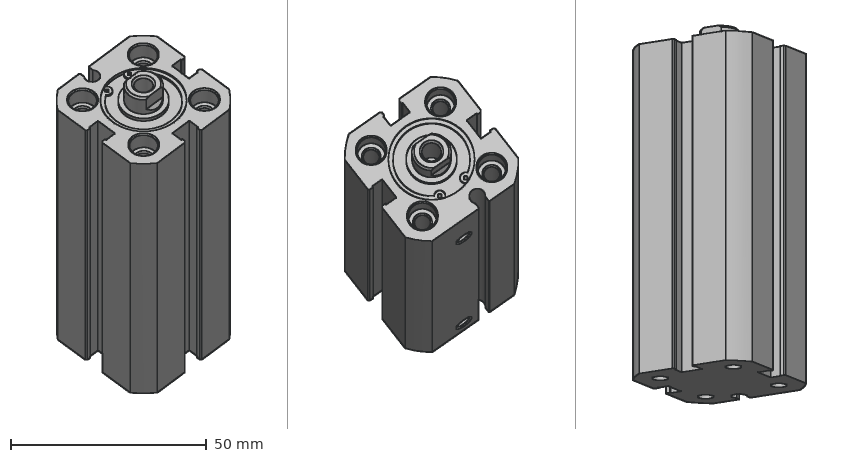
import cadquery as cq

TOTAL_HEIGHT = 93.0
ROD_PROJECTION = 5.95
BARREL_HEIGHT = TOTAL_HEIGHT - ROD_PROJECTION
BARREL_WIDTH = 36.0
HALF_WIDTH = BARREL_WIDTH / 2
CORNER_RADIUS = 22.2

SLOT_MOUTH_WIDTH = 5.4
SLOT_INNER_WIDTH = 6.1
SLOT_LIP_DEPTH = 1.4
SLOT_DEPTH = 4.6
SLOT_BEVEL = (SLOT_INNER_WIDTH - SLOT_MOUTH_WIDTH) / 2

GROOVE_DIAMETER = 4.1
GROOVE_NECK_WIDTH = 3.2
GROOVE_BEVEL = 0.2
GROOVE_Y = -3.4
GROOVE_CENTER_X = -15.1

MOUNT_PITCH = 22.0
MOUNT_BORE_DIAMETER = 4.1
MOUNT_LEAD_DIAMETER = 4.9
MOUNT_COUNTERBORE_DIAMETER = 7.3
MOUNT_COUNTERBORE_DEPTH = 5.0
MOUNT_RIM_DIAMETER = 8.0

PORT_DIAMETER = 4.1
PORT_RIM_DIAMETER = 4.9
PORT_DEPTH = 5.0
PORT_Y = 3.0
PORT_LOWER_Z = 5.6
PORT_UPPER_Z = BARREL_HEIGHT - 15.1

HEAD_DIAMETER = 22.0
COLLAR_DIAMETER = 13.0
RING_INNER_DIAMETER = 19.7
RING_DROP = 0.5
RING_THICKNESS = 0.6
HEAD_DEPTH = RING_DROP + RING_THICKNESS
LUG_DIAMETER = 2.9
LUG_HOLE_DIAMETER = 1.0
LUG_X = -9.1
LUG_Y = 4.1

ROD_DIAMETER = 10.0
ROD_LENGTH = 23.25
ROD_BOTTOM = TOTAL_HEIGHT - ROD_LENGTH
ROD_CHAMFER = 0.6
FLAT_WIDTH = 8.0
FLAT_LENGTH = 4.2
ROD_HOLE_DIAMETER = 4.9
ROD_HOLE_RIM_DIAMETER = 6.0
ROD_HOLE_DEPTH = 12.0


def disc(diameter, bottom, height, x=0.0, y=0.0):
    """Upright cylinder standing at height `bottom`."""
    return cq.Workplane("XY").center(x, y).circle(diameter / 2).extrude(height).translate((0, 0, bottom))


def countersink(mouth_diameter, end_diameter):
    """45-degree cone with its mouth on Z = 0, narrowing downwards."""
    depth = (mouth_diameter - end_diameter) / 2
    return cq.Workplane("XY").add(
        cq.Solid.makeCone(end_diameter / 2, mouth_diameter / 2, depth, pnt=cq.Vector(0, 0, -depth))
    )


def barrel_blank():
    square = cq.Workplane("XY").rect(BARREL_WIDTH, BARREL_WIDTH).extrude(BARREL_HEIGHT)
    return square.intersect(disc(2 * CORNER_RADIUS, 0, BARREL_HEIGHT))


def t_slot(angle):
    """Full-height sensor slot, drawn on the +X side and turned about the barrel axis."""
    mouth = SLOT_MOUTH_WIDTH / 2
    inner = SLOT_INNER_WIDTH / 2
    lip_end = HALF_WIDTH - SLOT_LIP_DEPTH
    upper = [
        (HALF_WIDTH, mouth + SLOT_BEVEL),
        (HALF_WIDTH - SLOT_BEVEL, mouth),
        (lip_end, mouth),
        (lip_end, inner),
        (HALF_WIDTH - SLOT_DEPTH, inner),
    ]
    lower = [(x, -y) for x, y in reversed(upper)]
    slot = cq.Workplane("XY").polyline(upper + lower).close().extrude(BARREL_HEIGHT)
    return slot.rotate((0, 0, 0), (0, 0, 1), angle)


def round_groove():
    neck = GROOVE_NECK_WIDTH / 2
    upper = [
        (-HALF_WIDTH, neck + GROOVE_BEVEL),
        (-HALF_WIDTH + GROOVE_BEVEL, neck),
        (GROOVE_CENTER_X, neck),
    ]
    lower = [(x, -y) for x, y in reversed(upper)]
    mouth = cq.Workplane("XY").polyline(upper + lower).close().extrude(BARREL_HEIGHT)
    mouth = mouth.translate((0, GROOVE_Y, 0))
    return mouth.union(disc(GROOVE_DIAMETER, 0, BARREL_HEIGHT, GROOVE_CENTER_X, GROOVE_Y))


def mounting_hole(x, y):
    counterbore_floor = BARREL_HEIGHT - MOUNT_COUNTERBORE_DEPTH
    hole = disc(MOUNT_BORE_DIAMETER, 0, BARREL_HEIGHT)
    hole = hole.union(disc(MOUNT_COUNTERBORE_DIAMETER, counterbore_floor, MOUNT_COUNTERBORE_DEPTH))
    lead = countersink(MOUNT_LEAD_DIAMETER, MOUNT_BORE_DIAMETER).translate((0, 0, counterbore_floor))
    rim = countersink(MOUNT_RIM_DIAMETER, MOUNT_COUNTERBORE_DIAMETER).translate((0, 0, BARREL_HEIGHT))
    return hole.union(lead).union(rim).translate((x, y, 0))


def air_port(z):
    port = disc(PORT_DIAMETER, -PORT_DEPTH, PORT_DEPTH).union(countersink(PORT_RIM_DIAMETER, PORT_DIAMETER))
    return port.rotate((0, 0, 0), (0, 1, 0), -90).translate((-HALF_WIDTH, PORT_Y, z))


def retaining_ring():
    """Open ring with a holed lug at each end, seated on the floor of the head recess."""
    floor = BARREL_HEIGHT - HEAD_DEPTH
    ring = disc(HEAD_DIAMETER, floor, RING_THICKNESS).cut(disc(RING_INNER_DIAMETER, floor, RING_THICKNESS))
    opening = (
        cq.Workplane("XY")
        .box(HEAD_DIAMETER, 2 * LUG_Y, RING_THICKNESS, centered=(True, True, False))
        .translate((-HEAD_DIAMETER / 2, 0, floor))
    )
    ring = ring.cut(opening)
    for y in (-LUG_Y, LUG_Y):
        ring = ring.union(disc(LUG_DIAMETER, floor, RING_THICKNESS, LUG_X, y))
        ring = ring.cut(disc(LUG_HOLE_DIAMETER, floor, RING_THICKNESS, LUG_X, y))
    return ring.intersect(disc(HEAD_DIAMETER, floor, RING_THICKNESS))


def make_barrel():
    barrel = barrel_blank()
    for angle in (-90, 0, 90):
        barrel = barrel.cut(t_slot(angle))
    barrel = barrel.cut(round_groove())
    for x in (-MOUNT_PITCH / 2, MOUNT_PITCH / 2):
        for y in (-MOUNT_PITCH / 2, MOUNT_PITCH / 2):
            barrel = barrel.cut(mounting_hole(x, y))
    for z in (PORT_LOWER_Z, PORT_UPPER_Z):
        barrel = barrel.cut(air_port(z))
    floor = BARREL_HEIGHT - HEAD_DEPTH
    barrel = barrel.cut(disc(HEAD_DIAMETER, floor, HEAD_DEPTH))
    barrel = barrel.union(disc(COLLAR_DIAMETER, floor, HEAD_DEPTH))
    barrel = barrel.union(retaining_ring())
    return barrel.cut(disc(ROD_DIAMETER, ROD_BOTTOM, ROD_LENGTH))


def wrench_flat_cut():
    """Material removed beside the +X wrench flat; its lower end runs out at 45 degrees."""
    flat_x = FLAT_WIDTH / 2
    outer_x = ROD_DIAMETER / 2
    flat_bottom = TOTAL_HEIGHT - FLAT_LENGTH
    profile = [
        (flat_x, TOTAL_HEIGHT),
        (flat_x, flat_bottom),
        (outer_x, flat_bottom - (outer_x - flat_x)),
        (outer_x, TOTAL_HEIGHT),
    ]
    return cq.Workplane("XZ").polyline(profile).close().extrude(ROD_DIAMETER / 2, both=True)


def make_rod():
    rod = disc(ROD_DIAMETER, ROD_BOTTOM, ROD_LENGTH).faces(">Z").chamfer(ROD_CHAMFER)
    for angle in (0, 180):
        rod = rod.cut(wrench_flat_cut().rotate((0, 0, 0), (0, 0, 1), angle))
    rod = rod.cut(disc(ROD_HOLE_DIAMETER, TOTAL_HEIGHT - ROD_HOLE_DEPTH, ROD_HOLE_DEPTH))
    return rod.cut(countersink(ROD_HOLE_RIM_DIAMETER, ROD_HOLE_DIAMETER).translate((0, 0, TOTAL_HEIGHT)))


barrel = make_barrel()
rod = make_rod()

result = cq.Compound.makeCompound([barrel.val(), rod.val()])